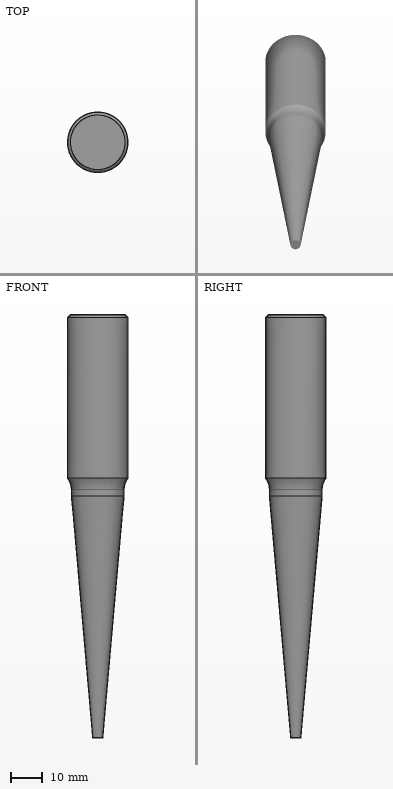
import cadquery as cq
import math

TOTAL_LENGTH = 133.4
SHANK_RADIUS = 19.1 / 2
NECK_RADIUS = 16.7 / 2
TIP_RADIUS = 3.2 / 2

CUTTER_LENGTH = 76.3
NECK_LENGTH = 2.0
END_CHAMFER = 1.0

SHOULDER_ARC_RADIUS = 6.0
SHOULDER_ANGLE = math.acos(1 - (SHANK_RADIUS - NECK_RADIUS) / SHOULDER_ARC_RADIUS)
SHOULDER_START = CUTTER_LENGTH + NECK_LENGTH
SHOULDER_END = SHOULDER_START + SHOULDER_ARC_RADIUS * math.sin(SHOULDER_ANGLE)


def profile_point(radius, height):
    """Place a profile point on the -Y side of the axis."""
    return (-radius, height)


def revolve_about_axis(profile):
    """Turn a closed YZ profile once around the Z axis."""
    return profile.close().revolve(360, (0, 0), (0, 1))


def make_shank():
    """Chamfered cylindrical shank with its concave shoulder and short neck."""
    half_angle = SHOULDER_ANGLE / 2
    shoulder_middle = profile_point(
        NECK_RADIUS + SHOULDER_ARC_RADIUS * (1 - math.cos(half_angle)),
        SHOULDER_START + SHOULDER_ARC_RADIUS * math.sin(half_angle),
    )
    profile = (
        cq.Workplane("YZ")
        .moveTo(*profile_point(0, CUTTER_LENGTH))
        .lineTo(*profile_point(NECK_RADIUS, CUTTER_LENGTH))
        .lineTo(*profile_point(NECK_RADIUS, SHOULDER_START))
        .threePointArc(shoulder_middle, profile_point(SHANK_RADIUS, SHOULDER_END))
        .lineTo(*profile_point(SHANK_RADIUS, TOTAL_LENGTH - END_CHAMFER))
        .lineTo(*profile_point(SHANK_RADIUS - END_CHAMFER, TOTAL_LENGTH))
        .lineTo(*profile_point(0, TOTAL_LENGTH))
    )
    return revolve_about_axis(profile)


def make_cutter():
    """Tapered cutter, widening from the flat tip to the neck."""
    profile = (
        cq.Workplane("YZ")
        .moveTo(*profile_point(0, 0))
        .lineTo(*profile_point(TIP_RADIUS, 0))
        .lineTo(*profile_point(NECK_RADIUS, CUTTER_LENGTH))
        .lineTo(*profile_point(0, CUTTER_LENGTH))
    )
    return revolve_about_axis(profile)


shank = make_shank()
cutter = make_cutter()

result = cq.Compound.makeCompound([shank.val(), cutter.val()])